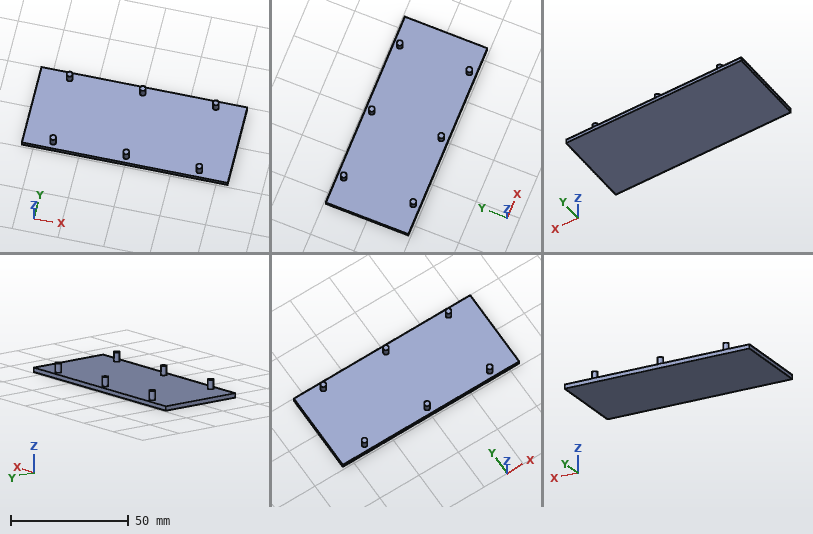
import cadquery as cq

plate_length = 90.0
plate_width = 38.0
plate_thickness = 2.0

total_height = 6.0
pin_height = total_height - plate_thickness
pin_diameter = 2.5
pin_spacing = 31.95
pin_columns = 3
pin_rows = 2

plate = cq.Workplane("XY").box(
    plate_length, plate_width, plate_thickness, centered=(True, True, False)
)

result = (
    plate.faces(">Z")
    .workplane()
    .rarray(pin_spacing, pin_spacing, pin_columns, pin_rows)
    .circle(pin_diameter / 2)
    .extrude(pin_height)
)